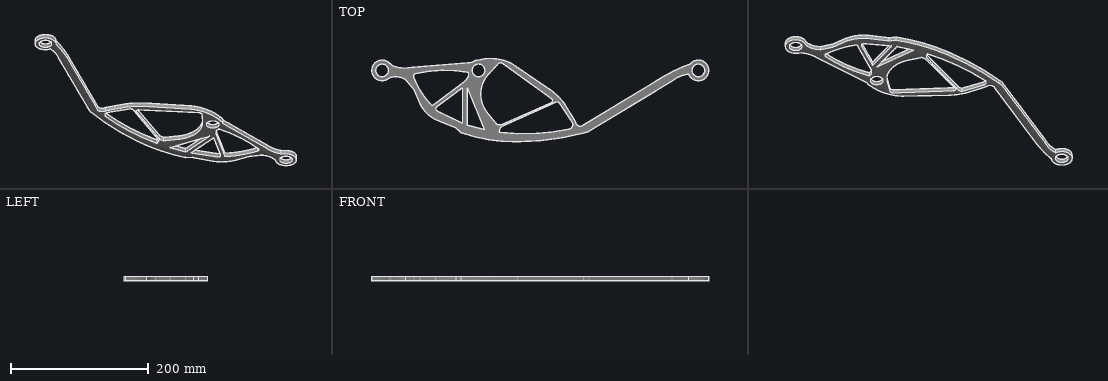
import cadquery as cq

thickness = 6.5
length = 490.0
body_width = 121.5
hole_diameter = 18.0
eye_diameter = 30.5
eye_radius = eye_diameter / 2
middle_eye_x = 140.0
right_eye_x = length - eye_diameter
eye_centres = [(0, 0), (middle_eye_x, 0), (right_eye_x, 0)]

body_top_y = 17.5
body_bottom_y = body_top_y - body_width

web_left_x = 116.5
web_right_x = 124.0


def line(end):
    """Straight stretch to the end point."""
    return ("line", end)


def arc(middle, end):
    """Circular stretch through the middle point to the end point."""
    return ("arc", middle, end)


def plate(start, stretches):
    """Extrude the closed outline that begins at start through the thickness."""
    outline = cq.Workplane("XY").moveTo(*start)
    for kind, *points in stretches:
        if kind == "line":
            outline = outline.lineTo(*points[0])
        else:
            outline = outline.threePointArc(*points)
    return outline.close().extrude(thickness)


def cylinders(diameter):
    """Make one upright cylinder at every eye."""
    return cq.Workplane("XY").pushPoints(eye_centres).circle(diameter / 2).extrude(thickness)


body = plate(
    (0, 0),
    [
        line((9.0, 12.2)),
        line((15.5, 7.0)),
        arc((23.5, 4.5), (40.5, 4.5)),
        line((131.5, 12.0)),
        line((middle_eye_x, eye_radius)),
        arc((157.0, body_top_y), (173.0, 15.5)),
        arc((182.0, 13.0), (189.5, 9.5)),
        line((235.5, -22.0)),
        arc((251.5, -33.5), (263.5, -46.0)),
        line((281.3, -74.5)),
        arc((287.0, -81.0), (293.0, -79.0)),
        line((411.0, -7.5)),
        arc((429.0, 2.0), (448.5, 10.0)),
        line((right_eye_x, 0)),
        line((446.5, -5.5)),
        arc((434.0, -8.5), (421.5, -15.5)),
        line((300.5, -88.5)),
        arc((297.0, -90.0), (293.0, -91.0)),
        arc((246.0, -100.5), (197.0, body_bottom_y)),
        arc((155.5, -101.0), (114.5, -90.5)),
        line((107.5, -84.0)),
        line((77.5, -71.5)),
        arc((64.0, -61.5), (55.5, -49.5)),
        line((46.0, -28.0)),
        line((34.5, -13.5)),
        arc((24.5, -10.0), (12.5, -10.5)),
        line((4.0, -14.0)),
    ],
)

upper_left_pocket = plate(
    (48.0, -5.0),
    [
        arc((94.0, 0), (125.5, -3.0)),
        line((125.5, -8.5)),
        arc((122.0, -13.5), (117.5, -17.5)),
        line((74.5, -50.0)),
        arc((73.0, -50.5), (71.0, -49.5)),
        arc((55.5, -29.0), (46.0, -10.0)),
        line((46.0, -7.0)),
    ],
)

lower_left_pocket = plate(
    (web_left_x, -25.5),
    [
        line((web_left_x, -76.5)),
        line((81.0, -59.5)),
        arc((78.5, -56.0), (80.5, -52.5)),
    ],
)

triangular_pocket = plate(
    (web_right_x, -26.0),
    [
        line((web_right_x, -79.5)),
        line((148.5, -85.7)),
    ],
)

large_pocket = plate(
    (169.0, 10.0),
    [
        arc((172.0, 11.0), (175.5, 10.0)),
        line((246.0, -41.0)),
        arc((247.5, -43.5), (246.5, -46.5)),
        line((175.5, -78.0)),
        arc((171.5, -79.0), (167.0, -78.5)),
        line((153.0, -61.2)),
        arc((143.5, -33.5), (157.5, -3.0)),
    ],
)

lower_right_pocket = plate(
    (174.5, -81.5),
    [
        line((250.0, -47.5)),
        arc((254.0, -46.0), (257.0, -47.0)),
        line((275.5, -74.5)),
        arc((276.5, -81.5), (271.5, -85.5)),
        arc((220.5, -91.5), (170.0, -89.5)),
        line((172.0, -83.5)),
    ],
)

result = body.union(cylinders(eye_diameter))
for pocket in [
    upper_left_pocket,
    lower_left_pocket,
    triangular_pocket,
    large_pocket,
    lower_right_pocket,
]:
    result = result.cut(pocket)
result = result.cut(cylinders(hole_diameter))